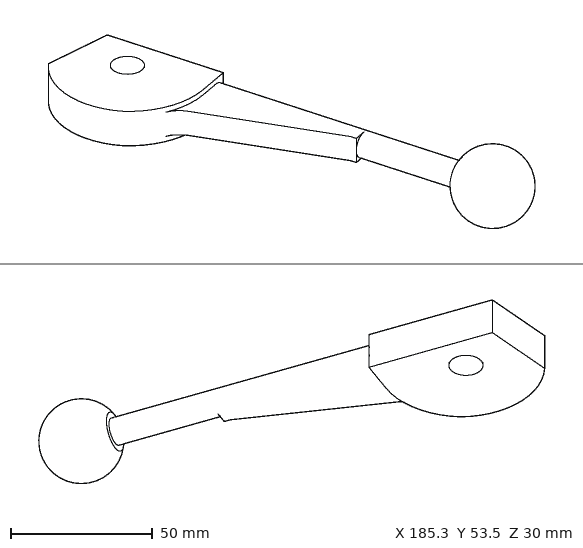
import cadquery as cq
import math


overall_length = 185.3

head_thickness = 14.3
pivot_diameter = 12.0
head_left = -16.9
head_side_height = 27.5
slant_angle = math.radians(15)
flank_center_x = 0.5
flank_radius = 30.8
arc_seam_x = 15.0
cam_low_x = 2.0
cam_low_y = -29.8

rod_diameter = 10.0
rod_radius = rod_diameter / 2
rod_axis_y = 8.7
ball_radius = 15.0
ball_flat_x = 132.8

rib_end_x = 92.6
taper_end_x = 90.2
taper_angle = math.radians(15.3)
rib_fillet_radius = 10.7

left_low_x = head_left - head_side_height * math.tan(slant_angle)
ball_center_x = left_low_x + overall_length - ball_radius
head_top = rod_axis_y + rod_radius
rod_bottom = rod_axis_y - rod_radius


def centered_prism(outline, thickness):
    return outline.close().extrude(thickness / 2, both=True)


def point_on_flank(angle):
    return (flank_center_x + flank_radius * math.cos(angle), flank_radius * math.sin(angle))


def make_head():
    left_low_y = head_top - head_side_height
    seam_angle = -math.acos((arc_seam_x - flank_center_x) / flank_radius)
    outline = (
        cq.Workplane("XY")
        .moveTo(head_left, head_top)
        .lineTo(flank_center_x + flank_radius, head_top)
        .lineTo(*point_on_flank(0))
        .threePointArc(point_on_flank(seam_angle / 2), point_on_flank(seam_angle))
        .threePointArc((cam_low_x, cam_low_y), (left_low_x, left_low_y))
    )
    return centered_prism(outline, head_thickness)


def make_rib():
    along = (math.cos(taper_angle), math.sin(taper_angle))
    below = (math.sin(taper_angle), -math.cos(taper_angle))
    from_flank_x = taper_end_x - flank_center_x
    flank_offset = from_flank_x * below[0] + rod_bottom * below[1]
    center_offset = flank_offset + rib_fillet_radius
    center_distance = flank_radius + rib_fillet_radius
    center_along = math.sqrt(center_distance**2 - center_offset**2)
    center_x = flank_center_x + center_along * along[0] + center_offset * below[0]
    center_y = center_along * along[1] + center_offset * below[1]

    def point_on_fillet(angle):
        return (
            center_x + rib_fillet_radius * math.cos(angle),
            center_y + rib_fillet_radius * math.sin(angle),
        )

    taper_touch = taper_angle + math.pi / 2
    flank_touch = math.atan2(center_y, center_x - flank_center_x) + math.pi
    outline = (
        cq.Workplane("XY")
        .moveTo(flank_center_x, rod_axis_y)
        .lineTo(rib_end_x, rod_axis_y)
        .lineTo(rib_end_x, rod_bottom)
        .lineTo(taper_end_x, rod_bottom)
        .lineTo(*point_on_fillet(taper_touch))
        .threePointArc(point_on_fillet((taper_touch + flank_touch) / 2), point_on_fillet(flank_touch))
        .lineTo(flank_center_x, 0)
    )
    return centered_prism(outline, rod_diameter)


def make_rod():
    rod_start_x = flank_center_x + flank_radius / 2
    return (
        cq.Workplane("YZ", origin=(rod_start_x, rod_axis_y, 0))
        .circle(rod_radius)
        .extrude(ball_center_x - rod_start_x)
    )


def make_ball():
    flat_radius = math.sqrt(ball_radius**2 - (ball_center_x - ball_flat_x) ** 2)
    return (
        cq.Workplane("XY", origin=(ball_center_x, rod_axis_y, 0))
        .moveTo(ball_flat_x - ball_center_x, 0)
        .lineTo(ball_flat_x - ball_center_x, flat_radius)
        .threePointArc((0, ball_radius), (ball_radius, 0))
        .close()
        .revolve(360, (0, 0, 0), (1, 0, 0))
    )


pivot_hole = cq.Workplane("XY").circle(pivot_diameter / 2).extrude(head_thickness, both=True)

result = make_head().union(make_rib()).union(make_rod()).union(make_ball()).cut(pivot_hole)